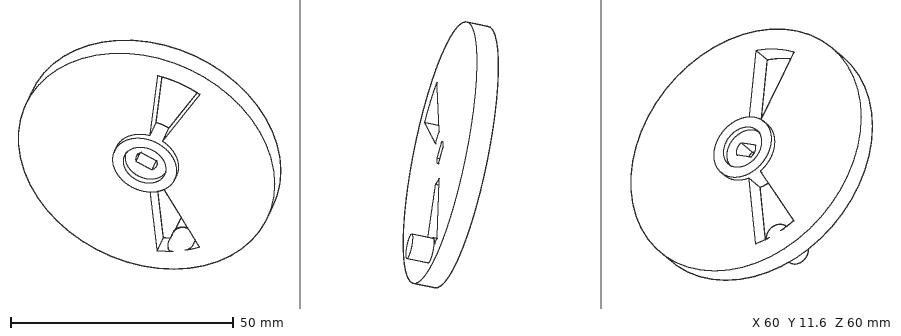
import cadquery as cq
import math

disc_radius = 30.0
disc_thickness = 5.05

hub_radius = 7.5
hub_height = 1.5
recess_radius = 5.0
recess_depth = hub_height

shaft_radius = 2.5
shaft_flat_width = 3.0
shaft_tilt = -23.5

window_outer_radius = 25.0
upper_window_angle = 72.0
lower_window_angle = -72.3
window_span = 24.0

pin_base_radius = 3.0
pin_radius = 2.8
pin_projection = 5.0
pin_angle = lower_window_angle
pin_edge_fillet = 1.5


def plane_at(y):
    """XZ sketch plane at height y, extruding toward +Y; its local y axis is -Z."""
    return cq.Workplane(cq.Plane(origin=(0, y, 0), xDir=(1, 0, 0), normal=(0, 1, 0)))


def polar(radius, angle):
    """Sketch point at an angle measured from +X toward +Z."""
    theta = math.radians(angle)
    return (radius * math.cos(theta), -radius * math.sin(theta))


def window(middle_angle):
    """Through-cut between two radial sides, the hub and the outer arc."""
    start = middle_angle - window_span / 2
    end = middle_angle + window_span / 2
    return (
        plane_at(0)
        .moveTo(*polar(hub_radius, start))
        .lineTo(*polar(window_outer_radius, start))
        .threePointArc(polar(window_outer_radius, middle_angle), polar(window_outer_radius, end))
        .lineTo(*polar(hub_radius, end))
        .threePointArc(polar(hub_radius, middle_angle), polar(hub_radius, start))
        .close()
        .extrude(disc_thickness)
    )


def shaft_hole():
    """Round hole trimmed by two flats, through the hub and disc."""
    length = disc_thickness + hub_height
    bore = plane_at(-hub_height).circle(shaft_radius).extrude(length)
    flats = plane_at(-hub_height).rect(2 * shaft_radius, shaft_flat_width).extrude(length)
    return bore.intersect(flats.rotate((0, 0, 0), (0, 1, 0), -shaft_tilt))


def crank_pin():
    """Rounded base flush with the front face, and a slightly thinner pin behind the disc."""
    centre = polar(window_outer_radius, pin_angle)
    base = (
        plane_at(0)
        .center(*centre)
        .circle(pin_base_radius)
        .extrude(disc_thickness)
        .faces("<Y")
        .edges()
        .fillet(pin_edge_fillet)
    )
    pin = plane_at(disc_thickness).center(*centre).circle(pin_radius).extrude(pin_projection)
    return base.union(pin)


disc = plane_at(0).circle(disc_radius).extrude(disc_thickness)
for angle in (upper_window_angle, lower_window_angle):
    disc = disc.cut(window(angle))

hub = plane_at(-hub_height).circle(hub_radius).extrude(hub_height)
recess = plane_at(-hub_height).circle(recess_radius).extrude(recess_depth)

result = disc.union(hub).cut(recess).cut(shaft_hole()).union(crank_pin())